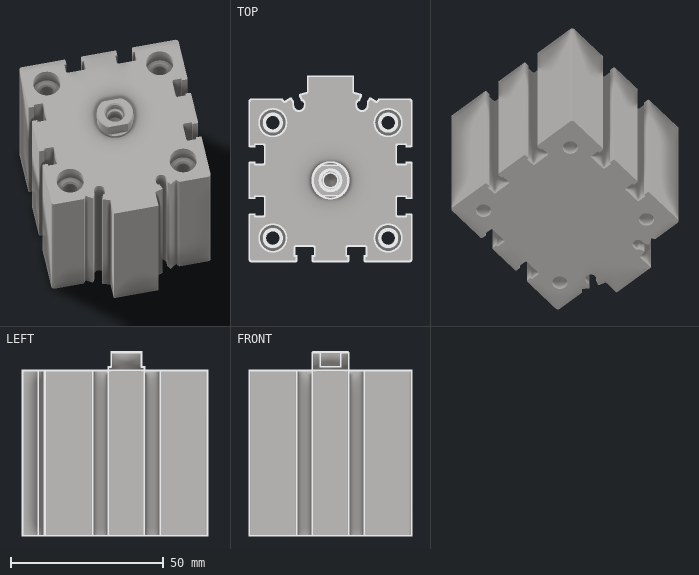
import cadquery as cq
import math

WIDTH = 53.5
DEPTH = 61.0
HALF = WIDTH / 2
HEIGHT = 54.5
CORNER_RADIUS = 1.0

RAIL_HALF_WIDTH = 7.5
RAIL_TOP = DEPTH - HALF
RAIL_FOOT = 28.9
EAR_TIP = (10.2, 28.1)
EAR_FILLET = 0.25
NECK = (9.45, 26.3)

GROOVE_RADIUS = 1.8
GROOVE_X = 10.4
GROOVE_Y = 24.65
GROOVE_INNER_X = GROOVE_X - GROOVE_RADIUS
GROOVE_OUTER_X = GROOVE_X + GROOVE_RADIUS
GROOVE_INNER_WALL_TOP = (GROOVE_INNER_X, 25.55)
GROOVE_SHOULDER = (8.9, 26.15)
GROOVE_WALL_TOP = 25.75
LIP_PEAK = (13.05, 27.1)
LIP_VALLEY = (15.2, 25.7)
LIP_END_X = 16.05

SLOT_FACE_ANGLES = (-90, 0, 90)
SLOT_OFFSET = 8.55
SLOT_DEPTH = 5.1
SLOT_LIP = 1.9
SLOT_MOUTH = 5.2
SLOT_WIDTH = 6.6
SLOT_FILLET = 0.5
MOUTH_FILLET = 0.4

HOLE_OFFSET = 19.0
HOLE_DIAMETER = 4.95
HOLE_COUNTERSINK = 6.1
COUNTERBORE_DIAMETER = 9.0
COUNTERBORE_DEPTH = 5.6

ROD_DIAMETER = 12.0
ROD_TOP = 60.5
ROD_BOTTOM = 45.75
ROD_CHAMFER = 0.25
FLATS_WIDTH = 10.0
FLATS_LENGTH = 4.9

RECESS_DIAMETER = 6.4
RECESS_DEPTH = 2.8
RECESS_CHAMFER = 0.4
DRILL_DIAMETER = 4.95
DRILL_DEPTH = 7.3
DRILL_POINT_ANGLE = 118


def mirror_x(point):
    return (-point[0], point[1])


def rail_half_outline():
    """Points of the right half of the rail, from the sensor groove to the rail top."""
    return [
        GROOVE_INNER_WALL_TOP,
        GROOVE_SHOULDER,
        NECK,
        EAR_TIP,
        (RAIL_HALF_WIDTH, RAIL_FOOT),
        (RAIL_HALF_WIDTH, RAIL_TOP),
    ]


def lip_half_outline():
    """Points of the right half, from the body corner to the round groove bottom."""
    return [
        (HALF, HALF),
        (LIP_END_X, HALF),
        LIP_VALLEY,
        LIP_PEAK,
        (GROOVE_OUTER_X, GROOVE_WALL_TOP),
        (GROOVE_OUTER_X, GROOVE_Y),
    ]


def make_profile():
    """Outer outline with the rail and sensor grooves, without the T-slots."""
    groove_bottom = (GROOVE_X, GROOVE_Y - GROOVE_RADIUS)
    inner_wall_foot = (GROOVE_INNER_X, GROOVE_Y)
    right_lip = lip_half_outline()
    right_rail = rail_half_outline()
    left_rail = [mirror_x(point) for point in reversed(right_rail)]
    left_lip = [mirror_x(point) for point in reversed(right_lip)]
    return (
        cq.Workplane("XY")
        .polyline([(-HALF, -HALF), (HALF, -HALF)] + right_lip)
        .threePointArc(groove_bottom, inner_wall_foot)
        .polyline(right_rail + left_rail + [mirror_x(inner_wall_foot)], includeCurrent=True)
        .threePointArc(mirror_x(groove_bottom), mirror_x(right_lip[-1]))
        .polyline(left_lip[1:], includeCurrent=True)
        .close()
    )


def vertical_edges_at(body, points):
    """Vertical edges of the body that pass through the given (x, y) points."""
    picked = body.newObject([])
    for x, y in points:
        nearest = cq.selectors.NearestToPointSelector((x, y, HEIGHT / 2))
        picked = picked.add(body.edges("|Z").edges(nearest))
    return picked


def make_t_slot(offset):
    """T-slot cutter in the -Y face, centred at x = offset."""
    floor_y = SLOT_DEPTH - HALF
    lip_y = SLOT_LIP - HALF
    mouth = cq.Workplane("XY").center(offset, -HALF).rect(SLOT_MOUTH, 2 * SLOT_LIP).extrude(HEIGHT)
    chamber = (
        cq.Workplane("XY")
        .center(offset, (floor_y + lip_y) / 2)
        .rect(SLOT_WIDTH, floor_y - lip_y)
        .extrude(HEIGHT)
        .edges("|Z and >Y")
        .fillet(SLOT_FILLET)
    )
    return mouth.union(chamber)


def turned(point, angle):
    """The point turned about the origin by the angle in degrees."""
    x, y = point
    cosine = math.cos(math.radians(angle))
    sine = math.sin(math.radians(angle))
    return (x * cosine - y * sine, x * sine + y * cosine)


def cut_t_slots(body):
    """Cut all six T-slots and round their mouth corners."""
    mouth_corners = []
    for angle in SLOT_FACE_ANGLES:
        for offset in (-SLOT_OFFSET, SLOT_OFFSET):
            body = body.cut(make_t_slot(offset).rotate((0, 0, 0), (0, 0, 1), angle))
            for x in (offset - SLOT_MOUTH / 2, offset + SLOT_MOUTH / 2):
                mouth_corners.append(turned((x, -HALF), angle))
    return vertical_edges_at(body, mouth_corners).fillet(MOUTH_FILLET)


def make_screw_hole():
    """Cutter for one counterbored hole, countersunk at the counterbore floor."""
    floor = HEIGHT - COUNTERBORE_DEPTH
    sink_depth = (HOLE_COUNTERSINK - HOLE_DIAMETER) / 2
    return (
        cq.Workplane("XZ")
        .moveTo(0, 0)
        .lineTo(HOLE_DIAMETER / 2, 0)
        .lineTo(HOLE_DIAMETER / 2, floor - sink_depth)
        .lineTo(HOLE_COUNTERSINK / 2, floor)
        .lineTo(COUNTERBORE_DIAMETER / 2, floor)
        .lineTo(COUNTERBORE_DIAMETER / 2, HEIGHT)
        .lineTo(0, HEIGHT)
        .close()
        .revolve(360, (0, 0), (0, 1))
    )


def make_housing():
    body = make_profile().extrude(HEIGHT)
    corners = [(x, y) for x in (-HALF, HALF) for y in (-HALF, HALF)]
    body = vertical_edges_at(body, corners).fillet(CORNER_RADIUS)
    ear_tips = [EAR_TIP, mirror_x(EAR_TIP)]
    body = vertical_edges_at(body, ear_tips).fillet(EAR_FILLET)
    body = cut_t_slots(body)
    screw_hole = make_screw_hole()
    for x in (-HOLE_OFFSET, HOLE_OFFSET):
        for y in (-HOLE_OFFSET, HOLE_OFFSET):
            body = body.cut(screw_hole.translate((x, y, 0)))
    rod_bore = (
        cq.Workplane("XY")
        .workplane(offset=ROD_BOTTOM)
        .circle(ROD_DIAMETER / 2)
        .extrude(HEIGHT - ROD_BOTTOM)
    )
    return body.cut(rod_bore)


def make_rod_end_hole():
    """Cutter for the chamfered recess and the drilled hole below it, joined by a cone."""
    recess_floor = ROD_TOP - RECESS_DEPTH
    drill_floor = ROD_TOP - DRILL_DEPTH
    recess_radius = RECESS_DIAMETER / 2
    drill_radius = DRILL_DIAMETER / 2
    cone_slope = 1 / math.tan(math.radians(DRILL_POINT_ANGLE / 2))
    step_depth = (recess_radius - drill_radius) * cone_slope
    point_depth = drill_radius * cone_slope
    return (
        cq.Workplane("XZ")
        .moveTo(0, ROD_TOP)
        .lineTo(recess_radius + RECESS_CHAMFER, ROD_TOP)
        .lineTo(recess_radius, ROD_TOP - RECESS_CHAMFER)
        .lineTo(recess_radius, recess_floor)
        .lineTo(drill_radius, recess_floor - step_depth)
        .lineTo(drill_radius, drill_floor)
        .lineTo(0, drill_floor - point_depth)
        .close()
        .revolve(360, (0, 0), (0, 1))
    )


def make_rod():
    rod = (
        cq.Workplane("XY")
        .workplane(offset=ROD_BOTTOM)
        .circle(ROD_DIAMETER / 2)
        .extrude(ROD_TOP - ROD_BOTTOM)
        .faces(">Z")
        .chamfer(ROD_CHAMFER)
    )
    outside_flats = (
        cq.Workplane("XY")
        .workplane(offset=ROD_TOP - FLATS_LENGTH)
        .rect(2 * ROD_DIAMETER, 2 * ROD_DIAMETER)
        .rect(2 * ROD_DIAMETER, FLATS_WIDTH)
        .extrude(FLATS_LENGTH)
    )
    return rod.cut(outside_flats).cut(make_rod_end_hole())


housing = make_housing()
rod = make_rod()

result = cq.Compound.makeCompound([housing.val(), rod.val()])